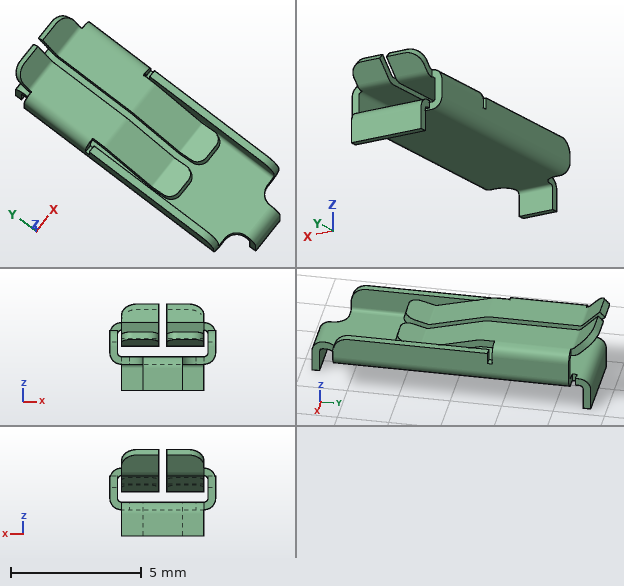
import cadquery as cq
import math

sheet = 0.30
inner_radius = 0.15
outer_radius = inner_radius + sheet

width = 4.05
half_width = width / 2
flat_half_width = half_width - outer_radius
front_end = 1.05
rear_end = 10.225
floor_bottom = 1.00
channel_height = 1.60
roof_top = floor_bottom + channel_height
roof_bottom = roof_top - sheet
wall_corner_radius = 0.60

roof_front = 7.25
slit_width = 0.18
slit_depth_past_bend = sheet
slit_bottom = roof_top - outer_radius - slit_depth_past_bend

front_leg_outer = 0.0
front_leg_half_width = 0.76
front_notch_radius = 0.58
rear_leg_outer = 11.0

gap = 0.30
spring_width = flat_half_width - gap / 2
roof_inner_radius = 0.20
roof_bend_radius = roof_inner_radius + sheet / 2
tip_bend_radius = inner_radius + sheet / 2
ramp_angle = 15
ramp_length = 2.27
ramp_start = 6.74
tip_length = 0.96
tip_corner_radius = 0.43
flare_angle = 45
flare_length = 0.92
flare_corner_radius = 0.60


def block(x_min, x_max, y_min, y_max, z_min, z_max):
    """Axis-aligned box given by its limits."""
    size = (x_max - x_min, y_max - y_min, z_max - z_min)
    return cq.Workplane("XY").box(*size, centered=False).translate((x_min, y_min, z_min))


def tube_section(height, y_min, y_max):
    """Rectangular tube along Y with rounded bends, standing on the floor level."""
    outer = block(-half_width, half_width, y_min, y_max, floor_bottom, floor_bottom + height)
    inner = block(
        -half_width + sheet, half_width - sheet, y_min, y_max,
        floor_bottom + sheet, floor_bottom + height - sheet,
    )
    return outer.edges("|Y").fillet(outer_radius).cut(inner.edges("|Y").fillet(inner_radius))


def make_channel():
    """U channel with rounded front wall corners, and curled-over wall tops at the rear."""
    tall_tube = tube_section(2 * channel_height, front_end, roof_front)
    walls_outline = block(
        -half_width, half_width, front_end, roof_front, floor_bottom, roof_bottom
    ).edges("|X and >Z and <Y").fillet(wall_corner_radius)
    front = tall_tube.intersect(walls_outline)
    slit = block(-half_width, half_width, roof_front - slit_width, roof_front, slit_bottom, roof_top)

    rear = tube_section(channel_height, roof_front, rear_end)
    roof_opening = block(
        -flat_half_width, flat_half_width, roof_front, rear_end, roof_bottom, roof_top
    )
    return front.cut(slit).union(rear.cut(roof_opening))


def make_leg(outer_face, channel_end, half_leg):
    """Floor extension from the channel end that bends down into a leg."""
    outward = math.copysign(1, outer_face - channel_end)
    floor_top = floor_bottom + sheet
    inner_face = outer_face - outward * sheet
    return (
        cq.Workplane("YZ")
        .moveTo(channel_end, floor_bottom)
        .lineTo(channel_end, floor_top)
        .lineTo(outer_face - outward * outer_radius, floor_top)
        .tangentArcPoint((outer_face, floor_top - outer_radius), relative=False)
        .lineTo(outer_face, 0)
        .lineTo(inner_face, 0)
        .lineTo(inner_face, floor_bottom - inner_radius)
        .tangentArcPoint((inner_face - outward * inner_radius, floor_bottom), relative=False)
        .close()
        .extrude(half_leg, both=True)
    )


def make_front_leg():
    """Narrow front leg, joined to the channel by a concave quarter round on each side."""
    leg = make_leg(front_leg_outer, front_end, front_leg_half_width)
    notch_center_x = front_leg_half_width + front_notch_radius
    notch_center_y = front_end - front_notch_radius
    web = block(
        -notch_center_x, notch_center_x, notch_center_y, front_end,
        floor_bottom, floor_bottom + sheet,
    )
    notches = (
        cq.Workplane("XY", origin=(0, notch_center_y, floor_bottom))
        .pushPoints([(-notch_center_x, 0), (notch_center_x, 0)])
        .circle(front_notch_radius)
        .extrude(sheet)
    )
    return leg.union(web.cut(notches))


def make_rear_leg():
    """Wide rear leg, with a bend relief slit cut into each side at the channel end."""
    leg = make_leg(rear_leg_outer, rear_end, flat_half_width)
    relief = block(
        flat_half_width - slit_depth_past_bend, flat_half_width,
        rear_end, rear_end + slit_width, floor_bottom, floor_bottom + sheet,
    )
    return leg.cut(relief).cut(relief.mirror("YZ"))


def bend_step(heading, turn, radius):
    """Displacement in (Y, Z) along a bend that turns the heading by the given angle."""
    chord = 2 * radius * math.sin(math.radians(abs(turn)) / 2)
    return straight_step(heading + turn / 2, chord)


def straight_step(heading, length):
    """Displacement in (Y, Z) along a straight run."""
    angle = math.radians(heading)
    return length * math.cos(angle), length * math.sin(angle)


def add(point, step):
    return point[0] + step[0], point[1] + step[1]


def round_corner(body, corner, radius):
    """Fillet the edge whose centre lies at the given corner point."""
    return body.edges(cq.selectors.NearestToPointSelector(corner)).fillet(radius)


def make_spring():
    """Contact spring on the +X side: raised tip, ramp, flat roof and flared entry."""
    middle_height = roof_top - sheet / 2
    roof_rear = (rear_end, middle_height)
    flare_start = add(roof_rear, bend_step(0, flare_angle, roof_bend_radius))
    flare_end = add(flare_start, straight_step(flare_angle, flare_length))

    toward_front = 180
    roof_front_end = (ramp_start, middle_height)
    ramp_top = add(roof_front_end, bend_step(toward_front, ramp_angle, roof_bend_radius))
    down_ramp = toward_front + ramp_angle
    ramp_bottom = add(ramp_top, straight_step(down_ramp, ramp_length))
    tip_start = add(ramp_bottom, bend_step(down_ramp, -2 * ramp_angle, tip_bend_radius))
    tip_end = add(tip_start, straight_step(toward_front - ramp_angle, tip_length))

    center_x = gap / 2 + spring_width / 2
    path = (
        cq.Workplane("YZ", origin=(center_x, 0, 0))
        .moveTo(*flare_end)
        .lineTo(*flare_start)
        .tangentArcPoint(roof_rear, relative=False)
        .lineTo(*roof_front_end)
        .tangentArcPoint(ramp_top, relative=False)
        .lineTo(*ramp_bottom)
        .tangentArcPoint(tip_start, relative=False)
        .lineTo(*tip_end)
    )
    end_plane = cq.Plane(
        origin=(center_x, *flare_end),
        xDir=(1, 0, 0),
        normal=(0, *straight_step(flare_angle + toward_front, 1)),
    )
    spring = cq.Workplane(end_plane).rect(spring_width, sheet).sweep(path)

    inner_side = gap / 2
    outer_side = flat_half_width
    spring = round_corner(spring, (outer_side, *flare_end), flare_corner_radius)
    for side in (inner_side, outer_side):
        spring = round_corner(spring, (side, *tip_end), tip_corner_radius)
    return spring


spring = make_spring()
result = (
    make_channel()
    .union(make_front_leg())
    .union(make_rear_leg())
    .union(spring)
    .union(spring.mirror("YZ"))
)